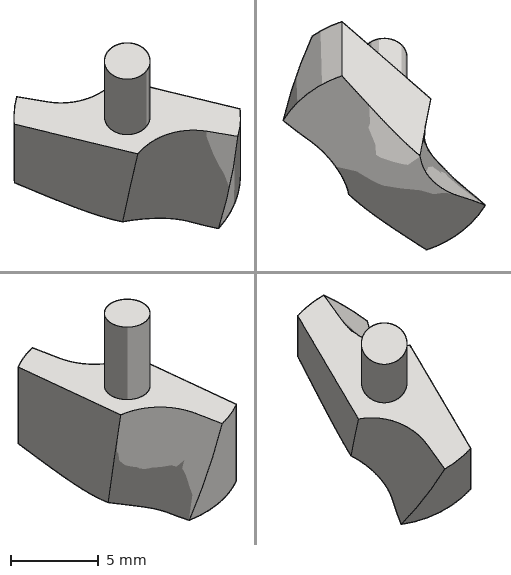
import cadquery as cq
import math

head_diameter = 12.88
head_thickness = 4.77
head_top = 7.48
total_height = 12.7
shank_diameter = 2.6
point_height = 1.97

flute_radius = 3.79
floor_start_x = 4.65
floor_start_y = 0.31
floor_angle = 5.0
wall_end_angle = 170.0
cutter_reach = 7.73
flute_lead = 83.72

head_radius = head_diameter / 2
flute_twist = 360 * head_top / flute_lead


def make_head():
    """Flat-sided head turned to a cylinder with a conical point."""
    turned = (
        cq.Workplane("XZ")
        .polyline([
            (0, 0),
            (head_radius, point_height),
            (head_radius, head_top),
            (0, head_top),
        ])
        .close()
        .revolve(360, (0, 0, 0), (0, 1, 0))
    )
    slab = cq.Workplane("XY").box(
        head_diameter, head_thickness, head_top, centered=(True, True, False)
    )
    return turned.intersect(slab)


def make_flute():
    """Helical cutter with a straight floor tangent to a round wall."""
    slope = math.radians(floor_angle)
    center_x = floor_start_x + flute_radius * math.sin(slope)
    center_y = floor_start_y - flute_radius * math.cos(slope)

    def wall_point(degrees):
        angle = math.radians(degrees)
        return (
            center_x + flute_radius * math.cos(angle),
            center_y + flute_radius * math.sin(angle),
        )

    wall_start_angle = 90 + floor_angle
    wall_middle = wall_point((wall_start_angle + wall_end_angle) / 2)
    wall_end = wall_point(wall_end_angle)
    floor_end_y = floor_start_y + (cutter_reach - floor_start_x) * math.tan(slope)

    return (
        cq.Workplane("XY")
        .transformed(rotate=(0, 0, -flute_twist))
        .moveTo(cutter_reach, floor_end_y)
        .lineTo(floor_start_x, floor_start_y)
        .threePointArc(wall_middle, wall_end)
        .lineTo(wall_end[0], -cutter_reach)
        .lineTo(cutter_reach, -cutter_reach)
        .close()
        .twistExtrude(head_top, flute_twist)
    )


head = make_head()
flute = make_flute()
for turn in (0, 180):
    head = head.cut(flute.rotate((0, 0, 0), (0, 0, 1), turn))

shank = (
    cq.Workplane("XY")
    .workplane(offset=head_top)
    .circle(shank_diameter / 2)
    .extrude(total_height - head_top)
)

result = head.union(shank)